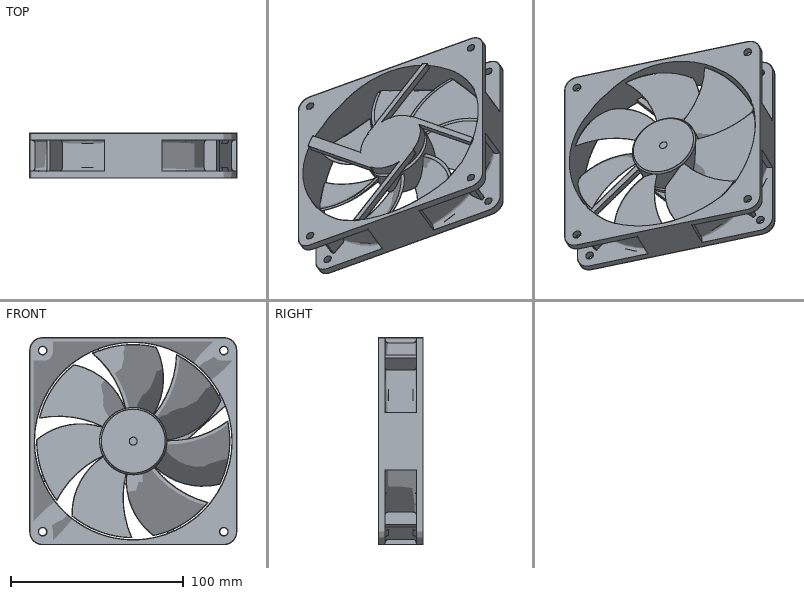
import cadquery as cq
import math


frame_size = 120.0
frame_depth = 26.0
corner_radius = 7.5
flange_thickness = 4.0
bore_radius = 57.2
duct_radius = 59.3
flare_height = 2.0
flare_radius = duct_radius + flare_height
side_wall_half_width = 16.7
rib_thickness = 2.2
rib_end_radius = 69.4

hole_spacing = 105.0
hole_diameter = 4.7

rim_width = 2.4
pad_start = 46.5
pad_radius = 5.0
recess_taper = 79.5
recess_depth = 2.5

base_radius = 19.5
base_front = 7.3
strut_count = 4
strut_width = 3.4
strut_depth = 3.5
strut_overlap = 0.5
strut_angle = 41.4
strut_side_radius = 20.0
cable_strut_width = 7.2

hub_radius = 19.5
hub_front = -11.0
hub_rear = 5.0
hub_chamfer = 1.0
blade_count = 7
blade_tip_radius = 56.0
blade_thickness = 2.2
blade_mid_radius = 36.0
blade_overlap = 2.0
blade_root_radius = hub_radius - blade_overlap
blade_overshoot_radius = blade_tip_radius + blade_overlap
blade_front_section = (-10.0, -6.5, 0.2, 10.8)
blade_middle_section = (-5.0, -26.5, -24.0, -10.7)
blade_rear_section = (3.2, -50.5, -41.6, -24.7)

pin_radius = 2.3

half_size = frame_size / 2
half_depth = frame_depth / 2
front_plane = cq.Plane(origin=(0, 0, 0), xDir=(1, 0, 0), normal=(0, -1, 0))


def at_y(y):
    """Workplane facing -Y at the given Y, with local axes along X and Z."""
    return cq.Workplane(front_plane).workplane(offset=-y)


def disc(radius, y_start, y_end):
    return at_y(y_end).circle(radius).extrude(y_end - y_start)


def polar(radius, degrees):
    angle = math.radians(degrees)
    return (radius * math.cos(angle), radius * math.sin(angle))


def turned(body, degrees):
    """Turn a body about the fan axis, counterclockwise when facing +Y."""
    return body.rotate((0, 0, 0), (0, -1, 0), degrees)


def flared_duct():
    """Solid of the air duct's outer wall, which widens to meet each flange."""
    flange_y = half_depth - flange_thickness
    straight_y = flange_y - flare_height
    return (
        cq.Workplane("XY")
        .moveTo(0, -flange_y)
        .lineTo(flare_radius, -flange_y)
        .radiusArc((duct_radius, -straight_y), flare_height)
        .lineTo(duct_radius, straight_y)
        .radiusArc((flare_radius, flange_y), flare_height)
        .lineTo(0, flange_y)
        .close()
        .revolve(360, (0, 0, 0), (0, 1, 0))
    )


def corner_openings():
    """Space between the flanges at the four corners, outside the duct and its diagonal ribs."""
    height = frame_depth - 2 * flange_thickness
    width = half_size - side_wall_half_width
    center = side_wall_half_width + width / 2
    corners = [(sx * center, sz * center) for sx in (-1, 1) for sz in (-1, 1)]
    openings = at_y(height / 2).pushPoints(corners).rect(width, width).extrude(height)
    openings = openings.cut(flared_duct())
    rib = cq.Workplane("XY").box(2 * rib_end_radius, height, rib_thickness)
    for angle in (45, 135):
        openings = openings.cut(turned(rib, angle))
    return openings


def front_recess():
    """Square recess with tapered walls that leaves a rounded pad around each mounting hole."""
    edge = half_size - rim_width
    corners = [(sx * edge, sz * edge) for sx in (-1, 1) for sz in (-1, 1)]
    pad_reach = edge - pad_start
    reach = pad_start + pad_reach / 2
    pad_corners = cq.selectors.BoxSelector((-reach, -reach, -1), (reach, reach, 1))
    outline = cq.Sketch().rect(2 * edge, 2 * edge)
    outline = outline.push(corners).rect(2 * pad_reach, 2 * pad_reach, mode="s").reset()
    outline = outline.vertices(pad_corners).fillet(pad_radius)
    return at_y(-half_depth).placeSketch(outline).extrude(-recess_depth, taper=recess_taper)


def strut(width):
    """Straight strut, offset from the fan axis and ending just inside the duct wall."""
    bar = cq.Workplane("XY").box(half_size, strut_depth, width, centered=False)
    bar = bar.translate((0, half_depth - strut_depth, -strut_side_radius))
    bar = bar.intersect(disc(bore_radius + strut_overlap, -half_depth, half_depth))
    return turned(bar, strut_angle)


def motor_base():
    """Round motor base held by struts, the first one wider to carry the cable."""
    base = disc(base_radius, base_front, half_depth).union(strut(cable_strut_width))
    for i in range(1, strut_count):
        base = base.union(turned(strut(strut_width), i * 360 / strut_count))
    return base


def make_frame():
    body = cq.Workplane("XY").box(frame_size, frame_depth, frame_size)
    body = body.edges("|Y").fillet(corner_radius)
    body = body.cut(corner_openings())
    recess = front_recess()
    body = body.cut(recess).cut(recess.mirror("XZ"))
    body = body.cut(disc(bore_radius, -half_depth, half_depth))
    holes = at_y(half_depth).rect(hole_spacing, hole_spacing, forConstruction=True).vertices()
    body = body.cut(holes.circle(hole_diameter / 2).extrude(frame_depth))
    return body.union(motor_base())


def blade_section(y, root_angle, mid_angle, tip_angle):
    """Curved strip across the blade at one Y, with the thickness measured around the axis."""
    radii = (blade_root_radius, blade_mid_radius, blade_overshoot_radius)
    angles = (root_angle, mid_angle, tip_angle)
    trailing = [polar(r, a) for r, a in zip(radii, angles)]
    leading = [polar(r, a + math.degrees(blade_thickness / r)) for r, a in zip(radii, angles)]
    strip = at_y(y).moveTo(*trailing[0]).threePointArc(trailing[1], trailing[2])
    strip = strip.lineTo(*leading[2]).threePointArc(leading[1], leading[0]).close()
    return strip.val()


def make_blade():
    places = (blade_front_section, blade_middle_section, blade_rear_section)
    sections = [blade_section(*place) for place in places]
    blade = cq.Workplane(cq.Solid.makeLoft(sections))
    return blade.intersect(disc(blade_tip_radius, -half_depth, half_depth))


def make_rotor():
    hub = disc(hub_radius, hub_front, hub_rear).faces("<Y").edges().chamfer(hub_chamfer)
    blade = make_blade()
    for i in range(blade_count):
        hub = hub.union(turned(blade, i * 360 / blade_count))
    return hub.cut(make_pin())


def make_pin():
    """Shaft pin, flush with the front of the hub and reaching back to the motor base."""
    return disc(pin_radius, hub_front, base_front)


frame = make_frame()
rotor = make_rotor()
pin = make_pin()
result = cq.Compound.makeCompound([frame.val(), rotor.val(), pin.val()])